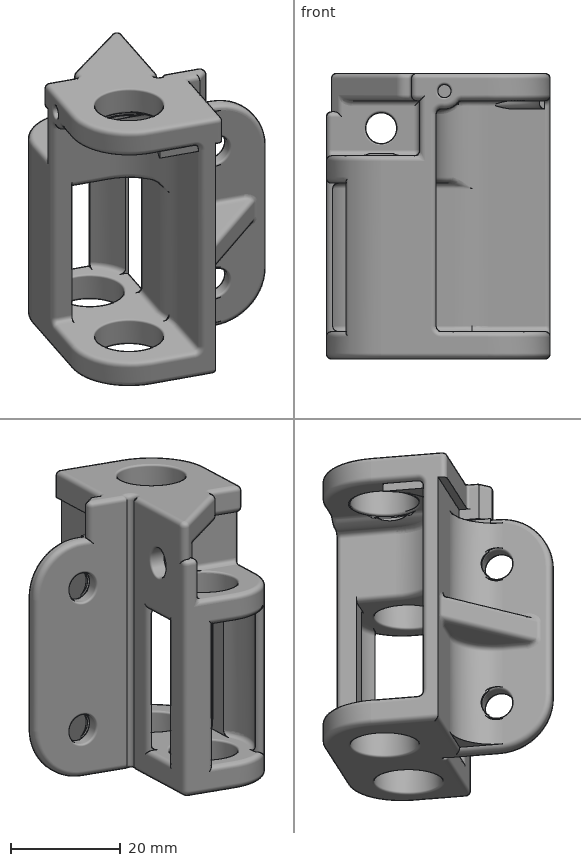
import cadquery as cq
import math

HEIGHT = 52.0
WIDTH = 40.75
FILLET = 1.0
FLOOR = 5.0
ROOF = HEIGHT - FLOOR
SHAFT_Y = 11.25
LEFT_X = 10.0
RIGHT_X = WIDTH - SHAFT_Y
BORE_D = 12.5
BORE_FLARE = 0.4
LEFT_BACK = 20.75
CLEARANCE_R = 9.5

PLATE_X = 20.0
PLATE_T = 3.0
PLATE_FACE = PLATE_X + PLATE_T
PLATE_END = WIDTH
PLATE_TOP = 45.0
PLATE_CORNER_R = 10.0
BOLT_D = 5.6
BOLT_Y = PLATE_END - PLATE_CORNER_R
BOLT_Z = (9.0, 36.0)
WEB_BACK = LEFT_BACK + PLATE_T
WEB_R = 8.0
GUSSET_TIP_X = 39.0
GUSSET_TIP_Y = 38.5
GUSSET_T = 5.0
NOTCH_D = 1.5
NOTCH_EDGE_R = 0.4

FLANGE_BACK = 25.25
TAB_END = 29.45
TAB_FACE = 23.5
TAB_BEVEL = 2.0
TAB_INNER_R = 0.5

POCKET_X = 17.0
POCKET_Y = LEFT_BACK - PLATE_T
POCKET_FLOOR = 37.0
DIAGONAL_SUM = 20.25
STEP_X = 15.5
STEP_Y = 6.75
STEP_R = 0.5
DIAGONAL_END_R = 2.0
CUT_FLOOR = 45.0
CUT_OVERLAP = 1.5
BACK_HOLE_Z = 42.0

CAVITY_TOP = 32.0
CAVITY_BACK = 19.75
WINDOW_Y = (3.8, 14.75)
WINDOW_DEPTH = 8.0
BACK_WINDOW_W = 8.0
SMOOTH_R = 10.0

PIN_D = 2.4
PIN_X = 21.5
PIN_Z = 48.75
PIN_DEPTH = 10.0
PIN_BOSS_R = 3.25

LOW_ROOF = 45.5
LOW_ROOF_FRONT = 13.25
OVER = 5.0

DIAG = math.sqrt(0.5)


def box(x0, x1, y0, y1, z0, z1):
    """Box between two opposite corners."""
    return cq.Workplane("XY").box(x1 - x0, y1 - y0, z1 - z0, centered=False).translate((x0, y0, z0))


def fillet_at(part, radius, points):
    """Round the edges that pass through the given points."""
    edges = [min(part.edges().vals(), key=cq.Vertex.makeVertex(*point).distance) for point in points]
    return part.newObject(edges).fillet(radius)


def cylinder(x, y, radius, z0, z1):
    """Upright cylinder."""
    return cq.Workplane("XY").center(x, y).circle(radius).extrude(z1 - z0).translate((0, 0, z0))


def shaft_block(bottom, top):
    """Slice of the block round both shafts; its rear left half is set forward of the web."""
    return (
        cq.Workplane("XY")
        .moveTo(LEFT_X, 0)
        .lineTo(RIGHT_X, 0)
        .threePointArc((RIGHT_X + SHAFT_Y * DIAG, SHAFT_Y * (1 - DIAG)), (WIDTH, SHAFT_Y))
        .lineTo(WIDTH, WEB_BACK)
        .lineTo(PLATE_X, WEB_BACK)
        .lineTo(PLATE_X, LEFT_BACK)
        .lineTo(0, LEFT_BACK)
        .lineTo(0, LEFT_X)
        .threePointArc((LEFT_X * (1 - DIAG), LEFT_X * (1 - DIAG)), (LEFT_X, 0))
        .close()
        .extrude(top - bottom)
        .translate((0, 0, bottom))
    )


def outer_block():
    """Block with a rounded bottom rim; its rear left corner steps down to CUT_FLOOR."""
    middle = CUT_FLOOR / 2
    lower = fillet_at(shaft_block(0, CUT_FLOOR), FILLET, [(0, LEFT_BACK, middle)])
    lower = lower.faces("<Z").edges().fillet(FILLET)
    lower = fillet_at(lower, FILLET, [(0, POCKET_Y, CUT_FLOOR), (LEFT_X, LEFT_BACK, CUT_FLOOR)])
    upper = shaft_block(CUT_FLOOR - CUT_OVERLAP, HEIGHT).cut(corner_tool())
    upper = fillet_at(upper, FILLET, [(STEP_X, 0, (CUT_FLOOR + HEIGHT) / 2)])
    return lower.union(upper)


def mounting_plate():
    """Upright plate running to the rear, with rounded corners and softened rims."""
    return (
        box(PLATE_X, PLATE_FACE, SHAFT_Y, PLATE_END, 0, PLATE_TOP)
        .edges("|X and >Y")
        .fillet(PLATE_CORNER_R)
        .edges("(>X or <X) and (not <Y)")
        .fillet(FILLET)
    )


def plate_root():
    """Curved root joining the plate to the rear of the web."""
    root_x = PLATE_FACE + WEB_R
    root_y = WEB_BACK + WEB_R
    return (
        cq.Workplane("XY")
        .moveTo(PLATE_FACE - FILLET, WEB_BACK - FILLET)
        .lineTo(root_x, WEB_BACK - FILLET)
        .lineTo(root_x, WEB_BACK)
        .threePointArc((root_x - WEB_R * DIAG, root_y - WEB_R * DIAG), (PLATE_FACE, root_y))
        .lineTo(PLATE_FACE - FILLET, root_y)
        .close()
        .extrude(PLATE_TOP - 2 * FILLET)
        .translate((0, 0, FILLET))
    )


def gusset():
    """Triangular shelf bracing the plate against the web, at the height midway between the bolts."""
    shelf = (
        cq.Workplane("XY")
        .polyline([
            (PLATE_FACE - FILLET, LEFT_BACK + FILLET),
            (GUSSET_TIP_X, LEFT_BACK + FILLET),
            (GUSSET_TIP_X, WEB_BACK),
            (PLATE_FACE, GUSSET_TIP_Y),
            (PLATE_FACE - FILLET, GUSSET_TIP_Y),
        ])
        .close()
        .extrude(GUSSET_T)
    )
    bottom = (sum(BOLT_Z) - GUSSET_T) / 2
    shelf = shelf.translate((0, 0, bottom))
    slope = ((PLATE_FACE + GUSSET_TIP_X) / 2, (WEB_BACK + GUSSET_TIP_Y) / 2)
    return fillet_at(shelf, FILLET, [(*slope, bottom), (*slope, bottom + GUSSET_T)])


def blend_gusset(part):
    """Round the corners where the gusset meets the plate, its root and the web."""
    root_x = PLATE_FACE + WEB_R * (1 - DIAG)
    root_y = WEB_BACK + WEB_R * (1 - DIAG)
    bottom = (sum(BOLT_Z) - GUSSET_T) / 2
    return fillet_at(part, FILLET, [(root_x, root_y, z) for z in (bottom, bottom + GUSSET_T)])


def top_flange():
    """Top flange overhang behind the web, joined to a bevelled tab above the plate."""
    tab_end = [
        (TAB_FACE, TAB_END - TAB_BEVEL),
        (TAB_FACE - TAB_BEVEL, TAB_END),
        (PLATE_X, TAB_END),
    ]
    overhang = (
        cq.Workplane("XY")
        .polyline([
            (PLATE_X, LEFT_BACK),
            (WIDTH, LEFT_BACK),
            (WIDTH, FLANGE_BACK),
            (TAB_FACE, FLANGE_BACK),
            *tab_end,
        ])
        .close()
        .extrude(HEIGHT - ROOF)
        .translate((0, 0, ROOF))
    )
    overhang = fillet_at(overhang, FILLET, [(WIDTH, FLANGE_BACK, (ROOF + HEIGHT) / 2)])
    overhang = fillet_at(overhang, TAB_INNER_R, [(TAB_FACE, FLANGE_BACK, (ROOF + HEIGHT) / 2)])
    tab_foot = (
        cq.Workplane("XY")
        .polyline([(PLATE_X, LEFT_BACK), (TAB_FACE, LEFT_BACK), *tab_end])
        .close()
        .extrude(ROOF - PLATE_TOP)
        .translate((0, 0, PLATE_TOP))
    )
    plate_rim = box(PLATE_X, PLATE_FACE, LEFT_BACK, TAB_END, PLATE_TOP - FILLET, PLATE_TOP)
    flange = overhang.union(tab_foot).union(plate_rim).clean()
    return fillet_at(flange, FILLET, [(PLATE_X, TAB_END, PLATE_TOP + FILLET)])


def bay_tool():
    """Open bay round the right shaft; its inside corners carry the common fillet."""
    bay = (
        cq.Workplane("XY")
        .moveTo(PLATE_X, -OVER)
        .lineTo(PLATE_X, SHAFT_Y)
        .threePointArc(
            (RIGHT_X - CLEARANCE_R * DIAG, SHAFT_Y + CLEARANCE_R * DIAG),
            (RIGHT_X, SHAFT_Y + CLEARANCE_R),
        )
        .lineTo(WIDTH + OVER, SHAFT_Y + CLEARANCE_R)
        .lineTo(WIDTH + OVER, -OVER)
        .close()
        .extrude(ROOF - FLOOR)
        .translate((0, 0, FLOOR))
    )
    boss = (
        cq.Workplane("XZ", origin=(PIN_X, -2 * OVER, PIN_Z))
        .circle(PIN_BOSS_R)
        .extrude(-WIDTH)
    )
    bay = bay.cut(boss)
    drop = math.sqrt(PIN_BOSS_R ** 2 - (PIN_X - PLATE_X) ** 2)
    half_chord = math.sqrt(PIN_BOSS_R ** 2 - (PIN_Z - ROOF) ** 2)
    bay = fillet_at(bay, FILLET, [(PLATE_X, 0, PIN_Z - drop), (PIN_X + half_chord, 0, ROOF)])
    arc_x = RIGHT_X - CLEARANCE_R * DIAG
    arc_y = SHAFT_Y + CLEARANCE_R * DIAG
    wall_y = SHAFT_Y + CLEARANCE_R
    bay = fillet_at(bay, FILLET, [(PLATE_X, 0, FLOOR), (arc_x, arc_y, FLOOR), (WIDTH, wall_y, FLOOR)])
    return fillet_at(bay, FILLET, [(RIGHT_X - FILLET, wall_y, ROOF), (WIDTH, wall_y, ROOF)])


def low_roof():
    """Thicker roof of the bay outside the shaft clearance, with a rounded inner edge."""
    pad = box(
        RIGHT_X + FILLET, WIDTH - FILLET, LOW_ROOF_FRONT, LEFT_BACK + FILLET, LOW_ROOF, ROOF + FILLET,
    ).cut(cylinder(RIGHT_X, SHAFT_Y, CLEARANCE_R, 0, HEIGHT))
    arc_point = (RIGHT_X + CLEARANCE_R * DIAG, SHAFT_Y + CLEARANCE_R * DIAG, LOW_ROOF)
    return fillet_at(pad, FILLET, [arc_point])


def cavity_tool():
    """Clearance round the left shaft, opening left, rearward and into the right bay."""
    height = CAVITY_TOP - FLOOR
    reach = math.sqrt((CLEARANCE_R + SMOOTH_R) ** 2 - (CAVITY_BACK + SMOOTH_R - SHAFT_Y) ** 2)
    blend_x = RIGHT_X - reach
    share = CLEARANCE_R / (CLEARANCE_R + SMOOTH_R)
    end = (RIGHT_X - reach * share, SHAFT_Y + (CAVITY_BACK + SMOOTH_R - SHAFT_Y) * share)
    half = math.asin(reach / (CLEARANCE_R + SMOOTH_R)) / 2
    middle = (
        blend_x + SMOOTH_R * math.sin(half),
        CAVITY_BACK + SMOOTH_R * (1 - math.cos(half)),
    )
    passage = (
        cq.Workplane("XY")
        .moveTo(LEFT_X, WINDOW_Y[0])
        .lineTo(end[0], WINDOW_Y[0])
        .lineTo(*end)
        .threePointArc(middle, (blend_x, CAVITY_BACK))
        .lineTo(LEFT_X, CAVITY_BACK)
        .close()
        .extrude(height)
        .translate((0, 0, FLOOR))
    )
    room = cylinder(LEFT_X, SHAFT_Y, CLEARANCE_R, FLOOR, CAVITY_TOP).union(passage)
    points = []
    for z in (FLOOR, CAVITY_TOP):
        points.append((LEFT_X, SHAFT_Y - CLEARANCE_R, z))
        points.append((PLATE_X, CAVITY_BACK, z))
    return fillet_at(room, FILLET, points)


def cut_cavity(part):
    """Cavity round the left shaft, with a rounded lintel where it opens into the bay."""
    part = part.cut(cavity_tool())
    lintel_x = PLATE_X + 2 * FILLET
    lintel_y = SHAFT_Y + math.sqrt(CLEARANCE_R ** 2 - (RIGHT_X - lintel_x) ** 2)
    return fillet_at(part, FILLET, [(lintel_x, lintel_y, CAVITY_TOP)])


def cut_side_window(part):
    """Window through the left side, with its outer edges rounded."""
    front, back = WINDOW_Y
    corner_x = LEFT_X - math.sqrt(LEFT_X ** 2 - (LEFT_X - front) ** 2)
    middle = (FLOOR + CAVITY_TOP) / 2
    part = part.cut(box(-OVER, WINDOW_DEPTH, front, back, FLOOR, CAVITY_TOP))
    points = [(corner_x, front, middle), (0, back, middle)]
    for z in (FLOOR, CAVITY_TOP):
        points.append((0, (LEFT_X + back) / 2, z))
    return fillet_at(part, FILLET, points)


def cut_back_window(part):
    """Window through the rear of the left half, with its outer edges rounded."""
    sides = (LEFT_X - BACK_WINDOW_W / 2, LEFT_X + BACK_WINDOW_W / 2)
    part = part.cut(box(*sides, LEFT_BACK - PLATE_T, LEFT_BACK + OVER, FLOOR, CAVITY_TOP))
    points = [(x, LEFT_BACK, (FLOOR + CAVITY_TOP) / 2) for x in sides]
    points += [(LEFT_X, LEFT_BACK, z) for z in (FLOOR, CAVITY_TOP)]
    return fillet_at(part, FILLET, points)


def corner_tool():
    """Diagonal corner removed from the top flange, leaving a rounded tip at the rear left."""
    tip_x = DIAGONAL_SUM - LEFT_BACK + FILLET * (1 + math.sqrt(2))
    tip_y = LEFT_BACK - FILLET
    arc_middle = 3 * math.pi / 8
    bottom = CUT_FLOOR - OVER
    depth = HEIGHT + OVER - bottom
    tool = (
        cq.Workplane("XY")
        .moveTo(STEP_X, -OVER)
        .lineTo(STEP_X, STEP_Y)
        .lineTo(DIAGONAL_SUM - STEP_Y, STEP_Y)
        .lineTo(tip_x - FILLET * DIAG, tip_y - FILLET * DIAG)
        .threePointArc(
            (tip_x - FILLET * math.sin(arc_middle), tip_y + FILLET * math.cos(arc_middle)),
            (tip_x, LEFT_BACK),
        )
        .lineTo(tip_x, LEFT_BACK + OVER)
        .lineTo(-OVER, LEFT_BACK + OVER)
        .lineTo(-OVER, -OVER)
        .close()
        .extrude(depth)
        .translate((0, 0, bottom))
    )
    middle = bottom + depth / 2
    tool = fillet_at(tool, STEP_R, [(STEP_X, STEP_Y, middle)])
    return fillet_at(tool, DIAGONAL_END_R, [(DIAGONAL_SUM - STEP_Y, STEP_Y, middle)])


def cut_pocket(part):
    """Pocket over the left shaft: rounded mouth and rounded inside corners."""
    part = part.cut(box(-OVER, POCKET_X, -OVER, POCKET_Y, POCKET_FLOOR, ROOF))
    middle = (POCKET_FLOOR + ROOF) / 2
    tip_x = DIAGONAL_SUM - POCKET_Y
    mouth = [
        (STEP_X, STEP_Y / 2, ROOF),
        ((STEP_X + FILLET + POCKET_X) / 2, 0, ROOF),
        (POCKET_X, 0, middle),
        ((LEFT_X + POCKET_X) / 2, 0, POCKET_FLOOR),
        (0, POCKET_Y, middle),
        (tip_x, POCKET_Y, (CUT_FLOOR + ROOF) / 2),
        ((FILLET + tip_x) / 2, POCKET_Y, CUT_FLOOR),
    ]
    part = fillet_at(part, FILLET, mouth)
    inside = [
        (LEFT_X, POCKET_Y, ROOF),
        (POCKET_X, POCKET_Y, middle),
        (POCKET_X, LEFT_X, POCKET_FLOOR),
        (LEFT_X, POCKET_Y, POCKET_FLOOR),
    ]
    return fillet_at(part, FILLET, inside)


def cut_notch(part):
    """Relief groove where the left half meets the plate, with eased edges."""
    part = part.cut(cylinder(PLATE_X, LEFT_BACK, NOTCH_D / 2, -OVER, HEIGHT + OVER))
    radius = NOTCH_D / 2
    edges = [(PLATE_X, LEFT_BACK + radius, LEFT_X), (PLATE_X - radius, LEFT_BACK, LEFT_X)]
    return fillet_at(part, NOTCH_EDGE_R, edges)


def cut_bay(part):
    """Bay round the right shaft, with its whole mouth rounded."""
    part = part.cut(bay_tool())
    part = fillet_at(part, FILLET, [(PLATE_X, 0, HEIGHT / 2)])
    return part.union(low_roof())


def flared_hole(radius, length):
    """Cutter along +Z from the origin with a rounded flare at both ends."""
    flare = BORE_FLARE
    bend = flare * (1 - DIAG)
    full_turn = 360
    return (
        cq.Workplane("XZ")
        .moveTo(0, -flare)
        .lineTo(radius + flare, -flare)
        .lineTo(radius + flare, 0)
        .threePointArc((radius + bend, bend), (radius, flare))
        .lineTo(radius, length - flare)
        .threePointArc((radius + bend, length - bend), (radius + flare, length))
        .lineTo(radius + flare, length + flare)
        .lineTo(0, length + flare)
        .close()
        .revolve(full_turn, (0, 0, 0), (0, 1, 0))
    )


def cut_round_holes(part):
    """Shaft bores, bolt holes and the blind pin hole."""
    bore = BORE_D / 2
    bores = (
        (LEFT_X, 0, FLOOR),
        (LEFT_X, CAVITY_TOP, POCKET_FLOOR),
        (RIGHT_X, 0, FLOOR),
        (RIGHT_X, ROOF, HEIGHT),
    )
    for x, bottom, top in bores:
        part = part.cut(flared_hole(bore, top - bottom).translate((x, SHAFT_Y, bottom)))
    part = part.cut(cylinder(RIGHT_X, SHAFT_Y, bore, HEIGHT / 2, HEIGHT))

    bolt = flared_hole(BOLT_D / 2, PLATE_T)
    for z in BOLT_Z:
        clearance = cq.Workplane("YZ", origin=(PLATE_X, BOLT_Y, z)).circle(BOLT_D / 2)
        part = part.cut(clearance.extrude(PLATE_T + WEB_R))
        part = part.cut(bolt.rotate((0, 0, 0), (0, 1, 0), 90).translate((PLATE_X, BOLT_Y, z)))
    back_hole = bolt.rotate((0, 0, 0), (1, 0, 0), -90)
    part = part.cut(back_hole.translate((LEFT_X, POCKET_Y, BACK_HOLE_Z)))

    pin = cq.Workplane("XZ", origin=(PIN_X, 0, PIN_Z)).circle(PIN_D / 2).extrude(-PIN_DEPTH)
    part = part.cut(pin)
    return fillet_at(part, BORE_FLARE, [(PIN_X, 0, PIN_Z + PIN_D / 2)])


body = outer_block().union(top_flange()).union(mounting_plate()).union(plate_root())
body = blend_gusset(body.union(gusset()))
body = cut_pocket(body)
body = cut_notch(body)
body = body.faces(">Z").edges().fillet(FILLET)
body = cut_back_window(cut_side_window(body))
body = cut_bay(body)
body = cut_cavity(body)
result = cut_round_holes(body)